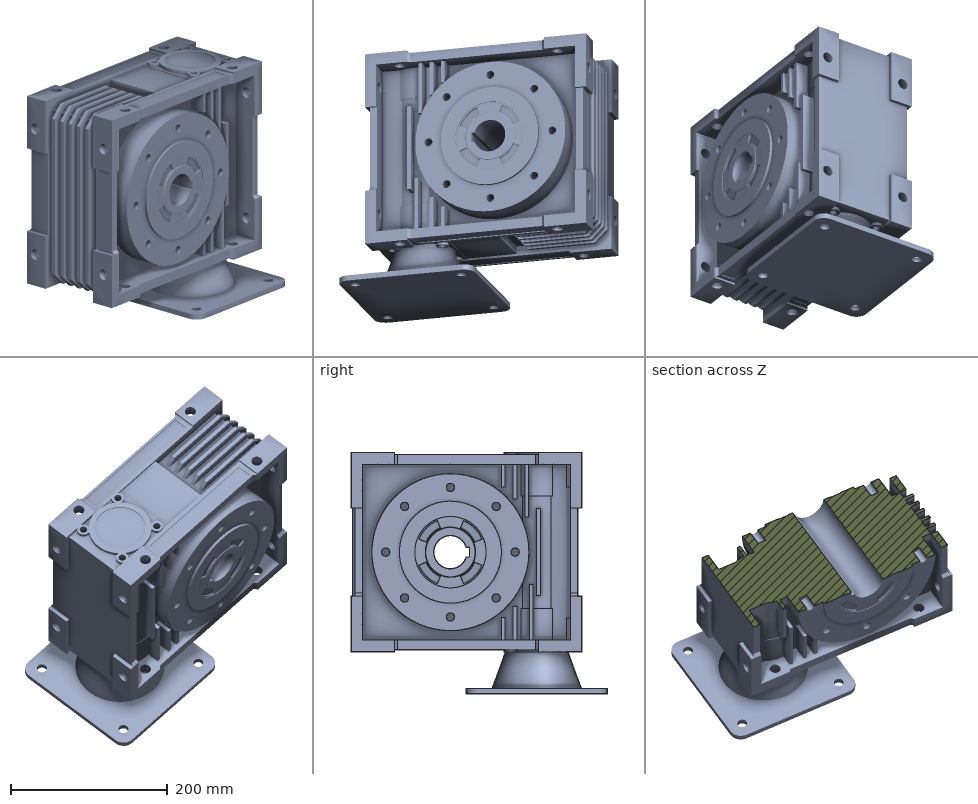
import cadquery as cq
import math

y_front = -126.5
y_back = 167.5
y_mid = (y_front + y_back) / 2
half_height = 127.0
foot_half_width = 71.25
core_half_width = 40.0

wall_y = 14.5
wall_z = 15.25
rail_half_width = 67.5
rail_inset_y = 5.0
rail_inset_z = 2.5
foot_length_y = 55.5
foot_length_z = 71.0
foot_ramp = foot_half_width - rail_half_width
foot_hole_diameter = 14.0
foot_hole_x = 57.5
foot_hole_spread = 85.0
foot_hole_back = 125.0
pocket_half_height = half_height - wall_z
pocket_front = y_front + wall_y
pocket_back = y_back - wall_y
rail_front = y_front + rail_inset_y
rail_back = y_back - rail_inset_y
rail_half_height = half_height - rail_inset_z

panel_inner_x = 45.75
panel_outer_x = 64.25
panel_half_length = 84.5
panel_depth = 1.0

pad_end = 66.0
pad_half_height = 121.75
worm_floor_half_height = 122.75

fin_count = 5
fin_pitch = 14.0
fin_width = 5.0
fin_front = -125.0
fin_start = -10.5
fin_corner = 16.5
fin_half_height = pad_half_height

worm_y = 110.0
worm_tube_radius = 43.9
worm_end_radius = 44.75
worm_middle_half_height = 71.5
cover_radius = 40.0
cover_recess_radius = 32.5
cover_recess_depth = 1.0
lug_circle_radius = 46.8
lug_radius = 8.0
lug_hole_diameter = 9.5
lug_hole_depth = 15.0
lug_turn = 46.0

flange_radius = 100.0
flange_half_width = 73.75
boss_radius = 65.0
boss_half_width = 77.25
flange_bolt_count = 8
flange_bolt_circle_radius = 82.5
flange_bolt_diameter = 10.5
flange_bolt_depth = 20.0
seal_radius = 45.5
shaft_radius = 32.0
shaft_chamfer = 0.5
seal_recess = 0.75
seal_slot_count = 4
seal_slot_inner_radius = 33.5
seal_slot_outer_radius = 43.5
seal_slot_angle = 45.0
seal_slot_depth = 2.0
bore_diameter = 42.0
key_width = 12.0
key_reach = 24.3

rib_half_width = 60.5
rib_width = 4.75
pocket_ribs = [
    (114.75, -55.5, 55.5),
    (99.75, 45.0, pocket_half_height),
    (105.25, -pocket_half_height, -41.5),
    (84.75, 68.0, pocket_half_height),
    (84.75, -pocket_half_height, -69.0),
    (69.75, 83.0, pocket_half_height),
    (69.75, -pocket_half_height, -83.0),
]

strip_half_width = 40.5
strip_width = 5.25
corner_strips = [
    (83.0, pocket_half_height),
    (-pocket_half_height, -83.75),
]

stand_bottom = -180.5
plate_side = 180.0
plate_thickness = 7.0
plate_corner_radius = 15.0
plate_hole_spacing = 141.0
plate_hole_diameter = 12.5
cone_base_radius = 57.0
cone_top_radius = 40.0


def block(x0, x1, y0, y1, z0, z1):
    """Box between opposite corners."""
    return cq.Workplane("XY").box(x1 - x0, y1 - y0, z1 - z0, centered=False).translate((x0, y0, z0))


def rod_x(radius, x0, x1, y=0):
    """Cylinder along X."""
    return cq.Workplane("YZ").center(y, 0).circle(radius).extrude(x1 - x0).translate((x0, 0, 0))


def rod_z(radius, z0, z1, x=0, y=0):
    """Cylinder along Z."""
    return cq.Workplane("XY").center(x, y).circle(radius).extrude(z1 - z0).translate((0, 0, z0))


def both_sides(shape, plane):
    """A shape together with its mirror image through the origin."""
    return shape.union(shape.mirror(plane))


def make_core():
    w = core_half_width
    core = block(-w, w, pocket_front, rail_back, -pocket_half_height, pocket_half_height)
    core = core.union(block(-w, w, 0, pad_end, -pad_half_height, pad_half_height))
    return core.union(block(-w, w, pad_end, rail_back, -worm_floor_half_height, worm_floor_half_height))


def make_fins():
    upper_outline = [
        (fin_start, 0),
        (fin_start, pocket_half_height),
        (fin_start - (fin_half_height - pocket_half_height), fin_half_height),
        (fin_front + fin_corner, fin_half_height),
        (fin_front, fin_half_height - fin_corner),
        (fin_front, 0),
    ]
    fin = cq.Workplane("YZ").polyline(upper_outline).close().extrude(fin_width / 2, both=True)
    fin = both_sides(fin, "XY")
    fins = cq.Workplane("XY")
    for i in range(fin_count):
        offset = (i - (fin_count - 1) / 2) * fin_pitch
        fins = fins.union(fin.translate((offset, 0, 0)))
    return fins


def make_foot(ramp_along_z):
    """Upper +Y corner foot of the +X frame. A ramp leads from its +X face to the horizontal rail,
    and another to the vertical rail where asked for."""
    ramp_drop = foot_ramp if ramp_along_z else 0
    ramp_edges = "<Y or <Z" if ramp_along_z else "<Y"
    foot = block(
        core_half_width, foot_half_width,
        y_back - foot_length_y, y_back,
        half_height - foot_length_z, half_height,
    )
    ramp = block(
        core_half_width, foot_half_width,
        y_back - foot_length_y - foot_ramp, rail_back,
        half_height - foot_length_z - ramp_drop, rail_half_height,
    )
    ramp = ramp.faces(">X").edges(ramp_edges).chamfer(foot_ramp)
    return foot.union(ramp)


def make_frame():
    """Frame on the +X side, with its pocket open."""
    frame = block(
        core_half_width, rail_half_width, rail_front, rail_back, -rail_half_height, rail_half_height
    )
    panel = block(
        panel_inner_x, panel_outer_x,
        y_mid - panel_half_length, y_mid + panel_half_length,
        rail_half_height - panel_depth, half_height,
    )
    frame = frame.cut(both_sides(panel, "XY"))
    lower_foot = make_foot(True).mirror("XY")
    end_feet = make_foot(False).union(lower_foot)
    frame = frame.union(end_feet).union(end_feet.mirror("XZ", (0, y_mid, 0)))
    pocket = block(
        core_half_width, foot_half_width,
        pocket_front, pocket_back, -pocket_half_height, pocket_half_height,
    )
    return frame.cut(pocket)


def make_foot_holes():
    """Foot holes of the +X frame, passing through its walls."""
    radius = foot_hole_diameter / 2
    holes = cq.Workplane("XY")
    for y in (-foot_hole_spread, foot_hole_back):
        holes = holes.union(rod_z(radius, -half_height, half_height, foot_hole_x, y))
    for z in (-foot_hole_spread, foot_hole_spread):
        hole = cq.Workplane("XZ").center(foot_hole_x, z).circle(radius).extrude(y_front - y_back)
        holes = holes.union(hole.translate((0, y_front, 0)))
    return holes


def make_pocket_ribs():
    ribs = cq.Workplane("XY")
    for y, z0, z1 in pocket_ribs:
        ribs = ribs.union(block(core_half_width, rib_half_width, y - rib_width, y, z0, z1))
    for z0, z1 in corner_strips:
        ribs = ribs.union(
            block(core_half_width, strip_half_width, pocket_back - strip_width, pocket_back, z0, z1)
        )
    return ribs


def make_worm_tube():
    tube = rod_z(worm_tube_radius, -worm_middle_half_height, worm_middle_half_height, 0, worm_y)
    end = rod_z(worm_end_radius, worm_middle_half_height, pocket_half_height, 0, worm_y)
    return tube.union(both_sides(end, "XY"))


def make_cover():
    """Upper worm cover with four bolt lugs."""
    cover = rod_z(cover_radius, pocket_half_height, half_height, 0, worm_y)
    cover = cover.cut(
        rod_z(cover_recess_radius, half_height - cover_recess_depth, half_height, 0, worm_y)
    )
    for x, y in lug_centres():
        cover = cover.union(rod_z(lug_radius, pocket_half_height, half_height, x, y))
    return cover


def make_cover_holes():
    holes = cq.Workplane("XY")
    for x, y in lug_centres():
        holes = holes.union(
            rod_z(lug_hole_diameter / 2, half_height - lug_hole_depth, half_height, x, y)
        )
    return holes


def lug_centres():
    angles = [math.radians(lug_turn + 90 * i) for i in range(4)]
    return [
        (lug_circle_radius * math.cos(a), worm_y + lug_circle_radius * math.sin(a)) for a in angles
    ]


def make_flange():
    """Gear flange and bearing boss on the +X side."""
    flange = rod_x(flange_radius, core_half_width, flange_half_width)
    flange = flange.union(rod_x(boss_radius, core_half_width, boss_half_width))
    seal_face = boss_half_width - seal_recess
    seal = rod_x(seal_radius, seal_face, boss_half_width)
    shaft_end = rod_x(shaft_radius, seal_face, boss_half_width).faces(">X").chamfer(shaft_chamfer)
    flange = flange.cut(seal.cut(shaft_end))
    for i in range(seal_slot_count):
        flange = flange.cut(make_seal_slot().rotate((0, 0, 0), (1, 0, 0), 360 * i / seal_slot_count))
    bolt_hole = rod_x(
        flange_bolt_diameter / 2,
        flange_half_width - flange_bolt_depth, flange_half_width,
        flange_bolt_circle_radius,
    )
    for i in range(flange_bolt_count):
        flange = flange.cut(bolt_hole.rotate((0, 0, 0), (1, 0, 0), 360 * i / flange_bolt_count))
    return flange


def make_seal_slot():
    """Arc-shaped recess in the seal face, centred 45 degrees up from +Y."""
    def polar(radius, degrees):
        a = math.radians(degrees)
        return (radius * math.cos(a), radius * math.sin(a))

    middle = 45.0
    first = middle - seal_slot_angle / 2
    last = middle + seal_slot_angle / 2
    floor = boss_half_width - seal_recess - seal_slot_depth
    return (
        cq.Workplane("YZ", origin=(floor, 0, 0))
        .moveTo(*polar(seal_slot_inner_radius, first))
        .lineTo(*polar(seal_slot_outer_radius, first))
        .threePointArc(polar(seal_slot_outer_radius, middle), polar(seal_slot_outer_radius, last))
        .lineTo(*polar(seal_slot_inner_radius, last))
        .threePointArc(polar(seal_slot_inner_radius, middle), polar(seal_slot_inner_radius, first))
        .close()
        .extrude(seal_slot_depth)
    )


def make_bore():
    bore = rod_x(bore_diameter / 2, -boss_half_width, boss_half_width)
    keyway = block(
        -boss_half_width, boss_half_width, 0, key_reach, -key_width / 2, key_width / 2
    )
    return bore.union(keyway)


def make_stand():
    """Square plate and cone under the worm."""
    plate = (
        cq.Workplane("XY", origin=(0, worm_y, stand_bottom))
        .rect(plate_side, plate_side)
        .extrude(plate_thickness)
        .edges("|Z")
        .fillet(plate_corner_radius)
        .faces(">Z")
        .workplane()
        .rect(plate_hole_spacing, plate_hole_spacing, forConstruction=True)
        .vertices()
        .hole(plate_hole_diameter)
    )
    cone_base = stand_bottom + plate_thickness
    cone_height = -half_height - cone_base
    cone = cq.Workplane("XY").add(
        cq.Solid.makeCone(cone_base_radius, cone_top_radius, cone_height, cq.Vector(0, worm_y, cone_base))
    )
    return plate.union(cone)


side = make_frame().cut(make_foot_holes()).union(make_pocket_ribs())
result = make_core().union(make_fins()).union(make_worm_tube())
result = result.union(both_sides(side, "YZ"))
result = result.union(both_sides(make_cover(), "XY"))
result = result.cut(both_sides(make_cover_holes(), "XY"))
result = result.union(both_sides(make_flange(), "YZ"))
result = result.cut(make_bore())
result = result.union(make_stand())